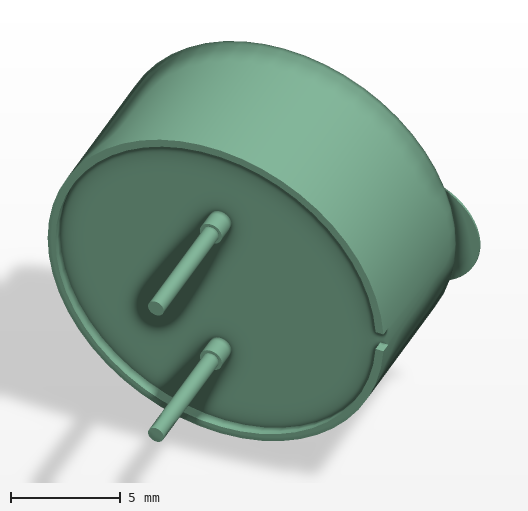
import cadquery as cq

housing_radius = 8.5
housing_depth = 8.0
back_edge_fillet = 0.5
rim_wall = 0.4
rim_height = 0.5
rim_notch_width = 1.0

pin_spacing = 7.6
pin_radius = 0.4
pin_end_beyond_rim = 6.3
collar_radius = 0.55
collar_end_beyond_rim = 0.5

total_width = 18.0
label_radius = 6.5
label_thickness = 0.1
tab_radius = total_width - housing_radius - label_radius

rim_y = -housing_depth
base_y = rim_y + rim_height


def cylinder_toward_front(radius, start_y, end_y, x=0, z=0):
    """Cylinder along Y from start_y to the lower end_y, centred at (x, z)."""
    profile = cq.Workplane("XZ", origin=(x, start_y, z)).circle(radius)
    return profile.extrude(start_y - end_y)


def make_housing_shell():
    """Filleted drum with a shallow front recess and a notch in its rim."""
    shell = cylinder_toward_front(housing_radius, 0, rim_y)
    shell = shell.faces(">Y").edges().fillet(back_edge_fillet)
    recess = cylinder_toward_front(housing_radius - rim_wall, base_y, rim_y)
    notch = cq.Workplane("XY").box(
        housing_radius + rim_wall, rim_height, rim_notch_width, centered=(False, False, True)
    ).translate((0, rim_y, 0))
    return shell.cut(recess).cut(notch)


def make_pin(z):
    """One terminal: a short collar on the base and a slimmer pin."""
    collar = cylinder_toward_front(collar_radius, base_y, rim_y - collar_end_beyond_rim, z=z)
    shank = cylinder_toward_front(pin_radius, base_y, rim_y - pin_end_beyond_rim, z=z)
    return collar.union(shank)


def make_housing():
    """Housing with its two fixed terminals as one body."""
    housing = make_housing_shell()
    for side in (-1, 1):
        housing = housing.union(make_pin(side * pin_spacing / 2))
    return housing


def make_label():
    """Round label with a round pull tab centred on its +X edge."""
    disc = cylinder_toward_front(label_radius, label_thickness, 0)
    tab = cylinder_toward_front(tab_radius, label_thickness, 0, x=label_radius)
    return disc.union(tab)


housing = make_housing()
label = make_label()

result = cq.Compound.makeCompound([housing.solids().val(), label.solids().val()])